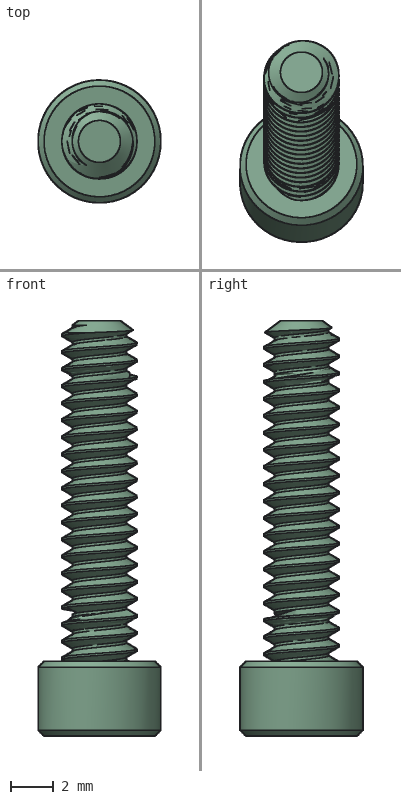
import cadquery as cq
import math

INCH = 25.4
major_diameter = 0.138 * INCH
pitch = INCH / 32
shank_length = 0.625 * INCH
head_diameter = 0.226 * INCH
head_height = major_diameter
head_chamfer = 0.05 * head_diameter

flank_angle = math.radians(30)
crest_flat = pitch / 8
root_flat = pitch / 6
thread_depth = (pitch - crest_flat - root_flat) / 2 / math.tan(flank_angle)
major_radius = major_diameter / 2
minor_radius = major_radius - thread_depth

first_crest_height = 0.515

tip_radius = 0.98
point_angle = math.radians(36.5)

ridge_overlap = 0.05
spare_turns = 2
envelope_radius = major_radius + 0.75


def make_head():
    head = cq.Workplane("XY").circle(head_diameter / 2).extrude(head_height)
    return head.faces("<Z or >Z").chamfer(head_chamfer)


def make_core():
    """Cylinder at the minor diameter, longer than the shank by the spare turns at each end."""
    spare_length = spare_turns * pitch
    core = cq.Workplane("XY", origin=(0, 0, head_height - spare_length)).circle(minor_radius)
    return core.extrude(shank_length + 2 * spare_length)


def make_thread_ridge():
    """Right-hand helical ridge from below the head's top face to beyond the end of the shank."""
    turns = math.ceil(shank_length / pitch) + spare_turns
    start_height = head_height + first_crest_height - spare_turns * pitch
    base_radius = minor_radius - ridge_overlap
    crest_half = crest_flat / 2
    base_half = crest_half + (major_radius - base_radius) * math.tan(flank_angle)
    profile = cq.Workplane("XZ").polyline(
        [
            (base_radius, -base_half),
            (major_radius, -crest_half),
            (major_radius, crest_half),
            (base_radius, base_half),
        ]
    ).close()
    helix = cq.Workplane(cq.Wire.makeHelix(pitch, turns * pitch, minor_radius))
    return profile.sweep(helix, isFrenet=True).translate((0, 0, start_height))


def make_shank_envelope():
    """Revolved body that trims the thread square at the head and to a cone at the free end."""
    cone_height = (envelope_radius - tip_radius) * math.tan(point_angle)
    outline = (
        cq.Workplane("XZ", origin=(0, 0, head_height))
        .lineTo(envelope_radius, 0)
        .lineTo(envelope_radius, shank_length - cone_height)
        .lineTo(tip_radius, shank_length)
        .lineTo(0, shank_length)
        .close()
    )
    return outline.revolve(360, (0, 0), (0, 1))


threaded_shank = make_core().union(make_thread_ridge()).intersect(make_shank_envelope())
result = make_head().union(threaded_shank)